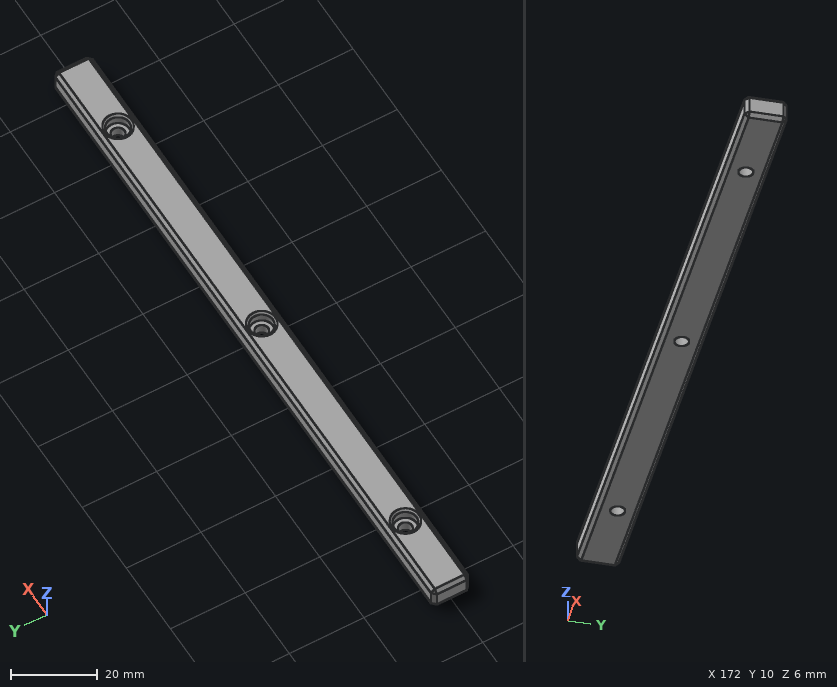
import cadquery as cq

length = 172.0
width = 10.0
height = 6.0
edge_chamfer = 1.0

hole_spacing = 65.0
hole_diameter = 3.5
counterbore_diameter = 6.0
counterbore_depth = 3.0
rim_chamfer = 0.62


def make_bar():
    """Bar centred on the origin with every outer edge chamfered."""
    return cq.Workplane("XY").box(length, width, height).edges().chamfer(edge_chamfer)


def make_hole_cutter(x):
    """Through hole, counterbore and conical lead-in, as one revolved profile."""
    top = height / 2
    bottom = -height / 2
    shoulder = top - counterbore_depth
    hole_radius = hole_diameter / 2
    counterbore_radius = counterbore_diameter / 2
    profile = (
        cq.Workplane("XZ")
        .moveTo(0, bottom)
        .lineTo(hole_radius, bottom)
        .lineTo(hole_radius, shoulder)
        .lineTo(counterbore_radius, shoulder)
        .lineTo(counterbore_radius, top - rim_chamfer)
        .lineTo(counterbore_radius + rim_chamfer, top)
        .lineTo(0, top)
        .close()
    )
    return profile.revolve(360, (0, 0), (0, 1)).translate((x, 0, 0))


result = make_bar()
for hole_x in (-hole_spacing, 0, hole_spacing):
    result = result.cut(make_hole_cutter(hole_x))